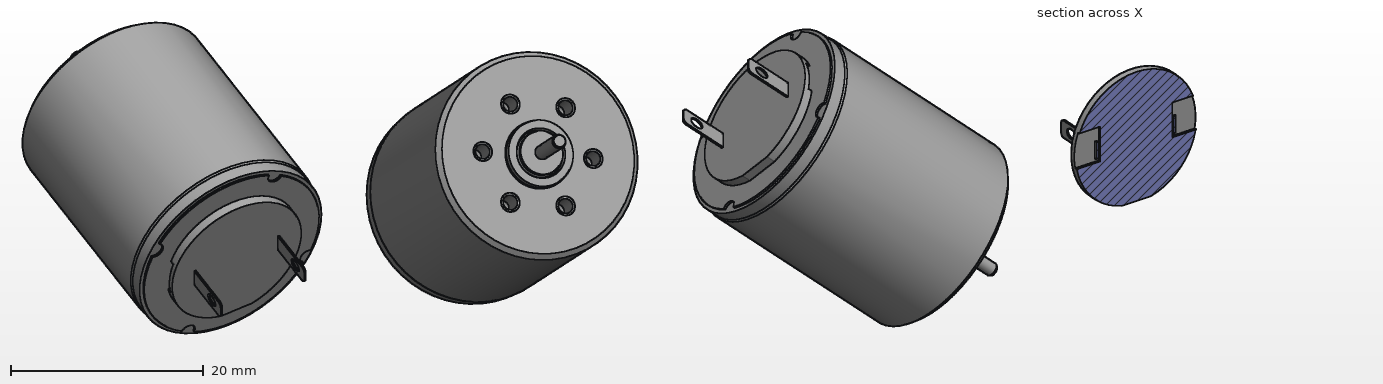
import cadquery as cq
import math

total_length = 39.0
shaft_chamfer_length = 0.25
bearing_face = 6.12
boss_face = 6.47
collar_face = 7.3
body_front = 7.45
body_rear = 30.58
cap_front = 30.8
cap_rear = 32.2
rim_rear = 32.45
terminal_block_rear = 33.5

shaft_radius = 0.75
shaft_tip_radius = 0.62
bearing_radius = 2.3
boss_radius = 3.5
collar_radius = 3.6
body_radius = 11.0
cap_radius = 10.9
rim_radius = 10.45
terminal_block_radius = 7.72

body_chamfer = 0.55

groove_outer_radius = 2.65
groove_root_radius = 2.5
groove_depth = 0.4
bearing_wall_depth = 0.2

mount_hole_count = 6
mount_circle_radius = 6.0
mount_hole_radius = 0.78
mount_recess_radius = 1.0
mount_recess_depth = 0.08
mount_hole_depth = 3.0
drill_tip_angle = 118.0

scoop_count = 4
scoop_start_angle = 60.0
scoop_radius = 0.85

block_flat_height = 7.5
slot_bottom = -1.35
slot_top = 2.65
slot_length = 0.45

terminal_offset = 5.0
terminal_thickness = 0.2
terminal_width = 2.03
terminal_corner = 0.45
terminal_bend_radius = 0.45
eyelet_length = 1.6
eyelet_width = 1.15
eyelet_center = 37.15

terminal_outer_face = terminal_offset + terminal_thickness / 2
slot_floor = terminal_outer_face - terminal_bend_radius


def make_housing():
    """Shaft, bearing, boss, body, end cap and rim, turned about the X axis."""
    profile = [
        (0, 0),
        (0, shaft_tip_radius),
        (shaft_chamfer_length, shaft_radius),
        (bearing_face, shaft_radius),
        (bearing_face, bearing_radius),
        (boss_face + bearing_wall_depth, bearing_radius),
        (boss_face + groove_depth, groove_root_radius),
        (boss_face, groove_outer_radius),
        (boss_face, boss_radius),
        (collar_face, boss_radius),
        (collar_face, collar_radius),
        (body_front, collar_radius),
        (body_front, body_radius - body_chamfer),
        (body_front + body_chamfer, body_radius),
        (body_rear, body_radius),
        (cap_front, cap_radius),
        (cap_rear, cap_radius),
        (cap_rear, rim_radius),
        (rim_rear, rim_radius),
        (rim_rear, 0),
    ]
    return cq.Workplane("XY").polyline(profile).close().revolve(360, (0, 0, 0), (1, 0, 0))


def make_mount_holes():
    """Drilled blind holes with conical tips and shallow recesses at their mouths."""
    tip_length = mount_hole_radius / math.tan(math.radians(drill_tip_angle / 2))
    profile = [
        (body_front, 0),
        (body_front, mount_recess_radius),
        (body_front + mount_recess_depth, mount_recess_radius),
        (body_front + mount_recess_depth, mount_hole_radius),
        (body_front + mount_hole_depth, mount_hole_radius),
        (body_front + mount_hole_depth + tip_length, 0),
    ]
    drill = cq.Workplane("XY").polyline(profile).close().revolve(360, (0, 0, 0), (1, 0, 0))
    drill = drill.translate((0, mount_circle_radius, 0))
    holes = cq.Workplane("XY")
    for index in range(mount_hole_count):
        holes = holes.add(drill.rotate((0, 0, 0), (1, 0, 0), index * 360 / mount_hole_count))
    return holes.combine()


def make_rim_scoops():
    """Round cutters that bite into the rear rim behind the end cap."""
    return (
        cq.Workplane("YZ", origin=(cap_rear, 0, 0))
        .polarArray(rim_radius, scoop_start_angle, 360, scoop_count)
        .circle(scoop_radius)
        .extrude(rim_rear - cap_rear)
    )


def make_terminal_block():
    """Rear disc with a flat underneath and a slot in each side."""
    block = (
        cq.Workplane("YZ", origin=(rim_rear, 0, 0))
        .circle(terminal_block_radius)
        .extrude(terminal_block_rear - rim_rear)
    )
    below_flat = (
        cq.Workplane("XY", origin=(rim_rear, 0, -block_flat_height))
        .rect(total_length, total_length)
        .extrude(-terminal_block_radius)
    )
    block = block.cut(below_flat)
    slot_depth = terminal_block_radius - slot_floor
    for side in (-1, 1):
        slot = cq.Workplane("XY").box(slot_length, slot_depth, slot_top - slot_bottom)
        slot_center = (
            rim_rear + slot_length / 2,
            side * (slot_floor + slot_depth / 2),
            (slot_top + slot_bottom) / 2,
        )
        block = block.cut(slot.translate(slot_center))
    return block


def make_terminal():
    """Solder tab on the +Y side with a bent root, rounded corners and an oval eyelet."""
    bend_end = rim_rear + terminal_bend_radius
    inner_bend_radius = terminal_bend_radius - terminal_thickness
    terminal_inner_face = terminal_outer_face - terminal_thickness
    outer_reach = terminal_bend_radius * math.sqrt(0.5)
    inner_reach = inner_bend_radius * math.sqrt(0.5)
    outer_bend_middle = (bend_end - outer_reach, slot_floor + outer_reach)
    inner_bend_middle = (bend_end - inner_reach, slot_floor + inner_reach)
    tab = (
        cq.Workplane("XY")
        .moveTo(rim_rear, slot_floor)
        .threePointArc(outer_bend_middle, (bend_end, terminal_outer_face))
        .lineTo(total_length, terminal_outer_face)
        .lineTo(total_length, terminal_inner_face)
        .lineTo(bend_end, terminal_inner_face)
        .threePointArc(inner_bend_middle, (rim_rear + terminal_thickness, slot_floor))
        .close()
        .extrude(terminal_width / 2, both=True)
        .edges(">X and |Y")
        .fillet(terminal_corner)
    )
    eyelet = (
        cq.Workplane("XZ")
        .center(eyelet_center, 0)
        .ellipse(eyelet_length / 2, eyelet_width / 2)
        .extrude(total_length, both=True)
    )
    return tab.cut(eyelet)


terminal = make_terminal()
result = make_housing().cut(make_mount_holes()).cut(make_rim_scoops()).union(make_terminal_block())
result = result.union(terminal).union(terminal.mirror("XZ"))